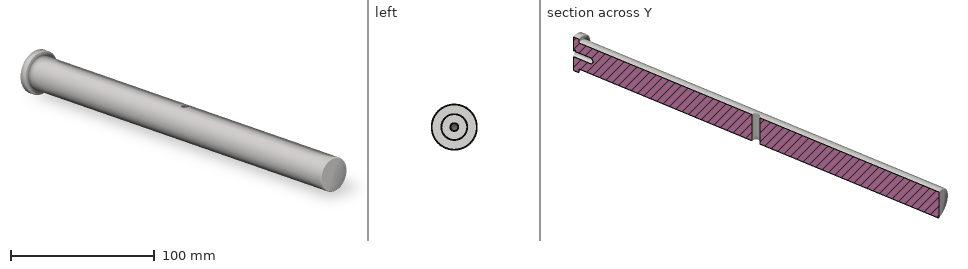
import math

import cadquery as cq

total_length = 300.0
shank_diameter = 25.0
head_diameter = 32.0
head_thickness = 5.0

head_chamfer = 0.5
shank_end_chamfer = 0.5

groove_outer_diameter = 18.5
groove_width = 0.5
groove_depth = 0.3

cross_hole_diameter = 6.0
cross_hole_x = total_length / 2

drill_diameter = 5.0
drill_depth = 15.0
drill_point_angle = 118.0
countersink_diameter = 6.0


def make_pin_body():
    """Headed pin along the X axis, head face at X = 0, with chamfered rims."""
    head = (
        cq.Workplane("YZ")
        .circle(head_diameter / 2)
        .extrude(head_thickness)
        .edges()
        .chamfer(head_chamfer)
    )
    shank = (
        cq.Workplane("YZ")
        .circle(shank_diameter / 2)
        .extrude(total_length)
        .faces(">X")
        .chamfer(shank_end_chamfer)
    )
    return head.union(shank)


def make_face_groove():
    """Shallow ring groove, concentric with the head face."""
    outer_radius = groove_outer_diameter / 2
    return (
        cq.Workplane("YZ")
        .circle(outer_radius)
        .circle(outer_radius - groove_width)
        .extrude(groove_depth)
    )


def make_cross_hole():
    """Vertical hole right through the shank."""
    return (
        cq.Workplane("XY", origin=(cross_hole_x, 0, -shank_diameter / 2))
        .circle(cross_hole_diameter / 2)
        .extrude(shank_diameter)
    )


def make_head_hole():
    """Blind hole with a 45 degree countersink and a conical drill point."""
    drill_radius = drill_diameter / 2
    countersink_radius = countersink_diameter / 2
    countersink_depth = countersink_radius - drill_radius
    point_length = drill_radius / math.tan(math.radians(drill_point_angle / 2))
    half_section = [
        (0, 0),
        (0, countersink_radius),
        (countersink_depth, drill_radius),
        (drill_depth, drill_radius),
        (drill_depth + point_length, 0),
    ]
    return (
        cq.Workplane("XY")
        .polyline(half_section)
        .close()
        .revolve(360, (0, 0, 0), (1, 0, 0))
    )


result = (
    make_pin_body()
    .cut(make_face_groove())
    .cut(make_cross_hole())
    .cut(make_head_hole())
)